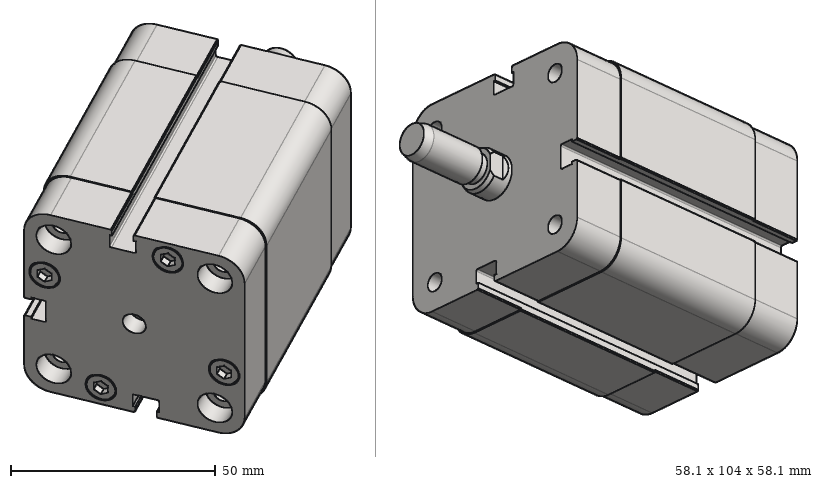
import cadquery as cq


total_length = 104.0
body_length = 75.5
cap_length = 14.8
barrel_side = 58.1
cap_side = 57.5
corner_radius = 6.9

slot_offset = 3.0
slot_mouth_width = 5.6
slot_inner_width = 6.9
slot_lip_depth = 2.2
slot_depth = 6.0
slot_floor_fillet = 0.4
slot_lip_chamfer = 0.3
slot_angles = (0, 90, 180)

mount_spacing = 42.0
mount_through_diameter = 4.9
mount_bore_diameter = 9.0
mount_bore_depth = 5.7

screw_offset_along = 8.7
screw_offset_out = 23.4
screw_bore_diameter = 8.0
screw_head_diameter = 7.5
screw_gap_depth = 0.4
socket_across_corners = 4.3
socket_depth = 2.1
socket_turn = 90

centre_hole_diameter = 6.0
centre_hole_depth = 5.2

collar_diameter = 12.0
collar_length = 6.5
collar_end_diameter = 10.9
collar_chamfer_length = 1.4
flat_width = 10.0
flat_start = 2.2
neck_diameter = 8.0
neck_length = 2.6
thread_diameter = 10.0
thread_tip_diameter = 8.5
thread_tip_length = 2.6


def rear_plane(y=0.0):
    """XZ workplane whose extrusions run towards +Y."""
    return cq.Workplane("XZ", origin=(0, y, 0))


def block(side, start, length):
    """Square block with rounded long edges, centred on the cylinder axis."""
    return rear_plane(start).rect(side, side).extrude(-length).edges("|Y").fillet(corner_radius)


def cylinders(points, diameter, depth):
    """Round plugs from the rear face, used for holes and rings."""
    return rear_plane().pushPoints(points).circle(diameter / 2).extrude(-depth)


def t_slot(side, start, length):
    """T-slot cutter for the +Z side of a block of the given side length."""
    top = side / 2
    mouth = slot_mouth_width / 2
    inner = slot_inner_width / 2
    lip = barrel_side / 2 - slot_lip_depth
    floor = barrel_side / 2 - slot_depth
    cavity = (
        rear_plane(start)
        .center(-slot_offset, (lip + floor) / 2)
        .rect(slot_inner_width, lip - floor)
        .extrude(-length)
        .edges("|Y and <Z")
        .fillet(slot_floor_fillet)
    )
    opening = (
        rear_plane(start)
        .center(-slot_offset, 0)
        .moveTo(-mouth, lip)
        .lineTo(mouth, lip)
        .lineTo(mouth, top - slot_lip_chamfer)
        .lineTo(mouth + slot_lip_chamfer, top)
        .lineTo(-mouth - slot_lip_chamfer, top)
        .lineTo(-mouth, top - slot_lip_chamfer)
        .close()
        .extrude(-length)
    )
    return cavity.union(opening)


def slotted_block(side, start, length):
    body = block(side, start, length)
    slot = t_slot(side, start, length)
    for angle in slot_angles:
        body = body.cut(slot.rotate((0, 0, 0), (0, 1, 0), -angle))
    return body


def piston_rod():
    """Turned rod with a chamfered collar, two wrench flats, an undercut and a stud."""
    collar_end = body_length + collar_length
    neck_end = collar_end + neck_length
    rod = (
        cq.Workplane("XY")
        .moveTo(0, body_length)
        .lineTo(collar_diameter / 2, body_length)
        .lineTo(collar_diameter / 2, collar_end - collar_chamfer_length)
        .lineTo(collar_end_diameter / 2, collar_end)
        .lineTo(neck_diameter / 2, collar_end)
        .lineTo(neck_diameter / 2, neck_end)
        .lineTo(thread_diameter / 2, neck_end)
        .lineTo(thread_diameter / 2, total_length - thread_tip_length)
        .lineTo(thread_tip_diameter / 2, total_length)
        .lineTo(0, total_length)
        .close()
        .revolve(360, (0, 0, 0), (0, 1, 0))
    )
    inner = flat_width / 2
    outer = collar_diameter / 2
    start = body_length + flat_start
    flat = (
        cq.Workplane("XY")
        .moveTo(inner, start)
        .lineTo(outer, start - (outer - inner))
        .lineTo(outer, collar_end)
        .lineTo(inner, collar_end)
        .close()
        .extrude(collar_diameter / 2, both=True)
    )
    return rod.cut(flat).cut(flat.mirror("YZ"))


barrel_length = body_length - 2 * cap_length
result = (
    slotted_block(cap_side, 0, cap_length)
    .union(slotted_block(barrel_side, cap_length, barrel_length))
    .union(slotted_block(cap_side, body_length - cap_length, cap_length))
    .union(piston_rod())
)

half_spacing = mount_spacing / 2
mount_points = [(x, z) for x in (-half_spacing, half_spacing) for z in (-half_spacing, half_spacing)]
result = result.cut(cylinders(mount_points, mount_through_diameter, body_length))
result = result.cut(cylinders(mount_points, mount_bore_diameter, mount_bore_depth))

screw_points = [
    (screw_offset_along, screw_offset_out),
    (screw_offset_out, -screw_offset_along),
    (-screw_offset_along, -screw_offset_out),
    (-screw_offset_out, screw_offset_along),
]
screw_gaps = cylinders(screw_points, screw_bore_diameter, screw_gap_depth).cut(
    cylinders(screw_points, screw_head_diameter, screw_gap_depth)
)
result = result.cut(screw_gaps)
socket = (
    rear_plane()
    .polygon(6, socket_across_corners)
    .extrude(-socket_depth)
    .rotate((0, 0, 0), (0, 1, 0), socket_turn)
)
for x, z in screw_points:
    result = result.cut(socket.translate((x, 0, z)))

result = result.cut(cylinders([(0, 0)], centre_hole_diameter, centre_hole_depth))